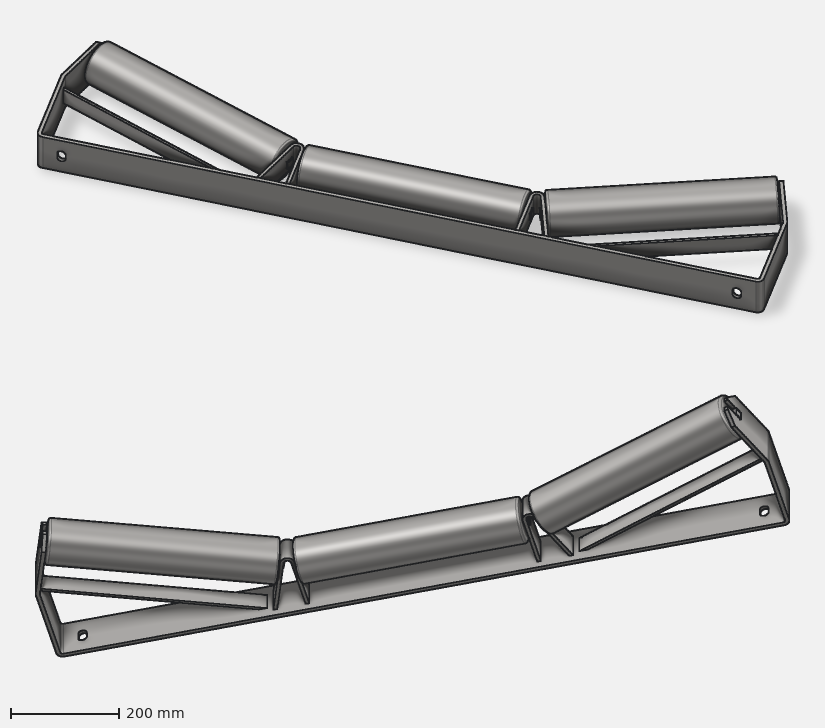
import cadquery as cq
import math


frame_length = 1400.0
strip_width = 80.0
strip_thickness = 8.0
bend_radius = 13.0
tip_chamfer = 24.0
tip_reach = 34.0
trough_angle = 20.0

roller_diameter = 88.0
roller_length = 430.0
roller_edge_fillet = 4.0
end_gap = 3.0
shaft_width = 17.0
shaft_overhang = 1.0
center_roller_y = 102.0
center_roller_z = -7.0
side_roller_x = 454.0
side_roller_y = 185.0
side_roller_tilt = 1.0

slot_length = 25.0
slot_width = 17.0
slot_inset = 49.0

bracket_width = 50.0
bracket_thickness = 7.0
bracket_bend_radius = 7.0

brace_thickness = 5.0
brace_height = 35.0
brace_wall_y = 160.0
brace_base_x = 298.0

half_frame = frame_length / 2
support_inner = roller_length / 2 + end_gap
support_outer = support_inner + strip_thickness
shaft_length = 2 * (support_outer + shaft_overhang)
side_roller_z = center_roller_z + roller_length / 2 * math.sin(math.radians(side_roller_tilt))
SIDES = (-1, 1)

angle = math.radians(trough_angle)
outward = (-math.cos(angle), math.sin(angle))
up_wall = (math.sin(angle), math.cos(angle))


def mirrored_to(side, shape):
    """Return a left-hand shape as it is, or its mirror image for the right."""
    return shape if side < 0 else shape.mirror("YZ")


def beside_left_roller(axial, upward):
    """Point at an axial and an upward distance from the left roller centre."""
    return (
        -side_roller_x + axial * outward[0] + upward * up_wall[0],
        side_roller_y + axial * outward[1] + upward * up_wall[1],
    )


def support_line_x(axial, y):
    """X at height y of the line square to the left roller axis at an axial distance."""
    x0, y0 = beside_left_roller(axial, 0)
    return x0 + (y - y0) * math.tan(angle)


def support_line_y(axial, x):
    """Y at position x of the line square to the left roller axis at an axial distance."""
    x0, y0 = beside_left_roller(axial, 0)
    return y0 + (x - x0) / math.tan(angle)


def in_left_roller_frame(shape, tilt, z):
    """Move a shape from the origin, axis along X, to the left roller."""
    return (
        shape.rotate((0, 0, 0), (0, 1, 0), tilt)
        .rotate((0, 0, 0), (0, 0, 1), -trough_angle)
        .translate((-side_roller_x, side_roller_y, z))
    )


def fillet_bends(strip, bends, radius):
    """Round the strip edges that pass through the given XY points."""
    for x, y in bends:
        strip = strip.edges(cq.selectors.NearestToPointSelector((x, y, 0))).fillet(radius)
    return strip


def make_shaft():
    """Square shaft along X, centred at the origin."""
    return cq.Workplane("XY").box(shaft_length, shaft_width, shaft_width)


def make_roller():
    """Roller with its shaft, along X and centred at the origin."""
    shell = (
        cq.Workplane("YZ", origin=(-roller_length / 2, 0, 0))
        .circle(roller_diameter / 2)
        .extrude(roller_length)
        .faces("<X or >X")
        .edges()
        .fillet(roller_edge_fillet)
    )
    return shell.union(make_shaft())


def make_end_slot():
    """Open slot that drops the outer shaft end into the left end wall, roller axis along X."""
    opening = cq.Workplane("XY").box(
        shaft_length / 2, roller_diameter, shaft_width, centered=(False, False, True)
    )
    return opening.translate((-shaft_length / 2, -shaft_width / 2, 0))


def make_tip_cutter():
    """Corners cut off the left end wall, with the roller axis along X."""
    strip = (
        cq.Workplane("XY")
        .box(shaft_length, strip_width, strip_width)
        .edges("|X and >Y")
        .chamfer(tip_chamfer)
    )
    corners = cq.Workplane("XY").box(shaft_length, strip_width, strip_width).cut(strip)
    return corners.translate((-shaft_length / 2, tip_reach - strip_width / 2, 0))


def make_frame():
    """Base strip with both ends bent up into walls that lean out to the side rollers."""
    inner_x = half_frame - strip_thickness
    outer_bend = (-half_frame, support_line_y(support_outer, -half_frame))
    outer_corner = (-half_frame, 0)
    inner_corner = (-inner_x, strip_thickness)
    inner_bend = (-inner_x, support_line_y(support_inner, -inner_x))
    outer_tip = beside_left_roller(support_outer, tip_reach)
    inner_tip = beside_left_roller(support_inner, tip_reach)

    left_half = [
        (0, strip_thickness), inner_corner, inner_bend, inner_tip,
        outer_tip, outer_bend, outer_corner, (0, 0),
    ]
    frame = cq.Workplane("XY").polyline(left_half).close().extrude(strip_width / 2, both=True)
    frame = fillet_bends(frame, [outer_bend, outer_corner], bend_radius)
    frame = fillet_bends(frame, [inner_bend, inner_corner], bend_radius - strip_thickness)

    tip_cutter = in_left_roller_frame(make_tip_cutter(), 0, 0)
    end_slot = in_left_roller_frame(make_end_slot(), side_roller_tilt, side_roller_z)
    mounting_slot = (
        cq.Workplane("XZ", origin=(slot_inset - half_frame, 0, 0))
        .slot2D(slot_length, slot_width, 90)
        .extrude(-strip_thickness)
    )
    frame = frame.cut(tip_cutter).cut(end_slot).cut(mounting_slot)
    return frame.union(mirrored_to(1, frame)).clean()


def make_left_bracket():
    """Hairpin strip that carries the inner end of the left and the centre roller."""
    foot_y = strip_thickness
    inside = support_inner + bracket_thickness
    inner_apex = (-inside, support_line_y(-inside, -inside))
    outer_apex = (-support_inner, support_line_y(-support_inner, -support_inner))
    outline = [
        (-support_inner, foot_y),
        outer_apex,
        (support_line_x(-support_inner, foot_y), foot_y),
        (support_line_x(-inside, foot_y), foot_y),
        inner_apex,
        (-inside, foot_y),
    ]
    bracket = cq.Workplane("XY").polyline(outline).close().extrude(bracket_width / 2, both=True)
    bracket = fillet_bends(bracket, [outer_apex], bracket_bend_radius + bracket_thickness)
    bracket = fillet_bends(bracket, [inner_apex], bracket_bend_radius)
    side_shaft = in_left_roller_frame(make_shaft(), side_roller_tilt, side_roller_z)
    center_shaft = make_shaft().translate((0, center_roller_y, center_roller_z))
    return bracket.cut(side_shaft).cut(center_shaft)


def make_left_brace():
    """Slanting flat bar from the end wall down to the base."""
    wall_x = -half_frame + strip_thickness
    slope = math.atan2(brace_wall_y - strip_thickness, -brace_base_x - wall_x)
    outline = [
        (wall_x, brace_wall_y),
        (-brace_base_x, strip_thickness),
        (-brace_base_x - brace_thickness / math.sin(slope), strip_thickness),
        (wall_x, brace_wall_y - brace_thickness / math.cos(slope)),
    ]
    return cq.Workplane("XY").polyline(outline).close().extrude(brace_height / 2, both=True)


frame = make_frame()

left_bracket = make_left_bracket()
brackets = [mirrored_to(side, left_bracket) for side in SIDES]

left_brace = make_left_brace()
braces = [mirrored_to(side, left_brace) for side in SIDES]

center_roller = make_roller().translate((0, center_roller_y, center_roller_z))
left_roller = in_left_roller_frame(make_roller(), side_roller_tilt, side_roller_z)
side_rollers = [mirrored_to(side, left_roller) for side in SIDES]

bodies = [frame, *brackets, *braces, center_roller, *side_rollers]
result = cq.Compound.makeCompound([body.val() for body in bodies])